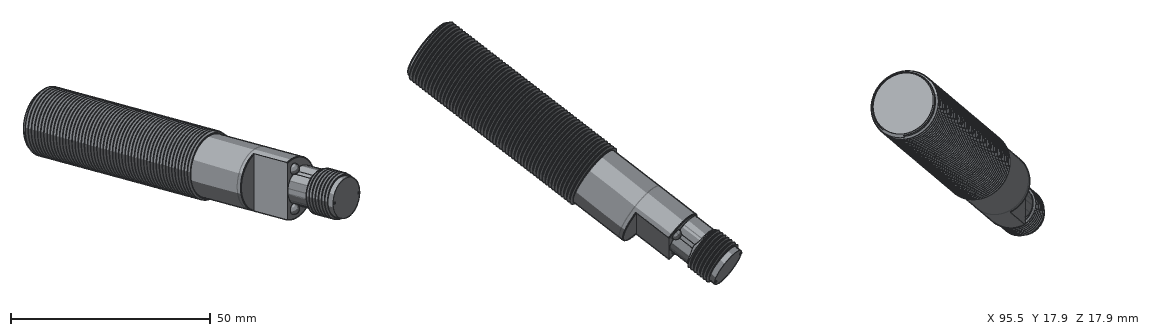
import cadquery as cq
import math


body_radius = 8.2
face_radius = 8.0
barrel_length = 68.9
body_length = 80.8
edge_chamfer = 0.2

flat_start = 70.1
flat_y = -3.0

ten_turn_length = 10.0
thread_pitch = ten_turn_length / 10
crest_width = 0.11
root_width = 0.91
root_overlap = 0.1
trim_margin = 0.2

body_thread_root = 8.3
body_thread_diameter = 17.9
body_thread_crest = body_thread_diameter / 2
body_thread_first_crest = 0.6
body_thread_end = 54.0

plug_thread_root = 5.4
plug_thread_diameter = 12.0
plug_thread_crest = plug_thread_diameter / 2
plug_thread_first_crest = 86.4
plug_thread_end = 93.7

plug_y = 2.6
plug_radius = 5.35
plug_end = 95.3
grip_flat_width = 1.4

overall_length = 95.5
tab_inner_radius = 4.6
tab_outer_radius = 5.3
tab_length = 1.0
tab_width = 0.5

groove_angle = 61.0
groove_core_radius = 4.8
groove_span = 32.0
groove_floor_span = 6.5
runout_start = 86.0
shank_overlap = 1.0
shank_start = body_length - shank_overlap
shank_end = runout_start + shank_overlap

dome_radius = 1.4
dome_distance = 6.1


def cylinder_x(start, end, radius, y=0.0, z=0.0):
    """Round bar parallel to X."""
    return cq.Workplane("YZ", origin=(start, y, z)).circle(radius).extrude(end - start)


def around_plug(radius, degrees):
    """Y and Z of a point around the plug axis, with the angle measured from -Y toward +Z."""
    angle = math.radians(degrees)
    return plug_y - radius * math.cos(angle), radius * math.sin(angle)


def threaded_bar(start, start_radius, end, first_crest, root_radius, crest_radius):
    """Right-handed threaded bar along X with a 45 degree lead-in cone and a square end."""
    outer_radius = crest_radius + trim_margin
    lead_in_bar = cq.Workplane("XY").polyline([
        (start, 0),
        (start, start_radius),
        (start + outer_radius - start_radius, outer_radius),
        (end, outer_radius),
        (end, 0),
    ]).close().revolve(360, (0, 0, 0), (1, 0, 0))

    base_radius = root_radius - root_overlap
    turns = math.ceil((end - first_crest) / thread_pitch)
    helix = cq.Wire.makeHelix(thread_pitch, turns * thread_pitch, base_radius)
    profile = cq.Workplane("XZ").polyline([
        (base_radius, -root_width / 2),
        (crest_radius, -crest_width / 2),
        (crest_radius, crest_width / 2),
        (base_radius, root_width / 2),
    ]).close()
    ridge = profile.sweep(cq.Workplane(helix), isFrenet=True)
    ridge = ridge.rotate((0, 0, 0), (0, 1, 0), 90).translate((first_crest, 0, 0))
    core = cylinder_x(start, end + 2 * thread_pitch, root_radius)
    return core.union(ridge, clean=False).intersect(lead_in_bar)


def make_body():
    """Smooth part of the body behind the thread, with the flat cut into its rear end."""
    barrel = cylinder_x(body_thread_end, barrel_length, body_radius)
    rear = cylinder_x(barrel_length, body_length, body_radius)
    flat_cut = cq.Workplane("XY").box(
        body_length - flat_start, body_radius, 2 * body_radius, centered=(False, False, True)
    ).translate((flat_start, flat_y - body_radius, 0))
    rear = rear.cut(flat_cut)
    rear = rear.faces("+X").edges("%CIRCLE").chamfer(edge_chamfer)
    return barrel.union(rear, clean=False)


def finger_groove(angle):
    """Groove along the shank with a round floor and rounded shoulders tangent to the shank."""
    reach = 2 * plug_radius
    wedge = cq.Workplane("YZ", origin=(body_length, 0, 0)).polyline([
        (plug_y, 0),
        around_plug(reach, angle - groove_span),
        around_plug(reach, angle + groove_span),
    ]).close().extrude(shank_end - body_length)

    spread = math.radians(groove_span - groove_floor_span)
    shoulder_distance = (plug_radius**2 - groove_core_radius**2) / (
        2 * (plug_radius - groove_core_radius * math.cos(spread))
    )
    shoulder_radius = plug_radius - shoulder_distance
    groove = wedge.cut(cylinder_x(body_length, shank_end, groove_core_radius, plug_y))
    for side in (-1, 1):
        y, z = around_plug(shoulder_distance, angle + side * groove_span)
        groove = groove.cut(cylinder_x(body_length, shank_end, shoulder_radius, y, z))
    return groove


def make_shank():
    """Grooved shank, sunk into the body at one end and into the plug thread at the other."""
    shank = cylinder_x(shank_start, shank_end, plug_radius, plug_y)
    for angle in (groove_angle, -groove_angle):
        shank = shank.cut(finger_groove(angle))

    flat_distance = math.sqrt(plug_radius**2 - (grip_flat_width / 2) ** 2)
    flat_cut_depth = plug_radius
    grip_flat = cq.Workplane("XY").box(
        shank_end - body_length, flat_cut_depth, grip_flat_width, centered=(False, False, True)
    ).translate((body_length, plug_y - flat_distance - flat_cut_depth, 0))
    return shank.cut(grip_flat)


def rim_tabs():
    """Two small tabs standing out of the plug's end face, on opposite sides in Y."""
    tab = cq.Workplane("XY").box(
        tab_length, tab_outer_radius - tab_inner_radius, tab_width, centered=(False, True, True)
    ).translate((overall_length - tab_length, 0, 0))
    middle = (tab_outer_radius + tab_inner_radius) / 2
    return tab.translate((0, plug_y - middle, 0)).union(tab.translate((0, plug_y + middle, 0)))


def indicator_domes():
    """Domes on the rear face, in line with the finger grooves."""
    domes = cq.Workplane("XY")
    for angle in (groove_angle, -groove_angle):
        y, z = around_plug(dome_distance, angle)
        domes = domes.union(cq.Workplane("XY").sphere(dome_radius).translate((body_length, y, z)))
    return domes


body_thread = threaded_bar(
    0, face_radius, body_thread_end, body_thread_first_crest, body_thread_root, body_thread_crest
)
plug_thread = threaded_bar(
    runout_start, groove_core_radius, plug_thread_end,
    plug_thread_first_crest, plug_thread_root, plug_thread_crest,
).translate((0, plug_y, 0))

plug_tip = cylinder_x(plug_thread_end, plug_end, plug_radius, plug_y)

rear_parts = [make_shank(), plug_thread, plug_tip, rim_tabs(), indicator_domes()]
rear_assembly = make_body()
for part in rear_parts:
    rear_assembly = rear_assembly.union(part, clean=False)
result = body_thread.union(rear_assembly, clean=False)